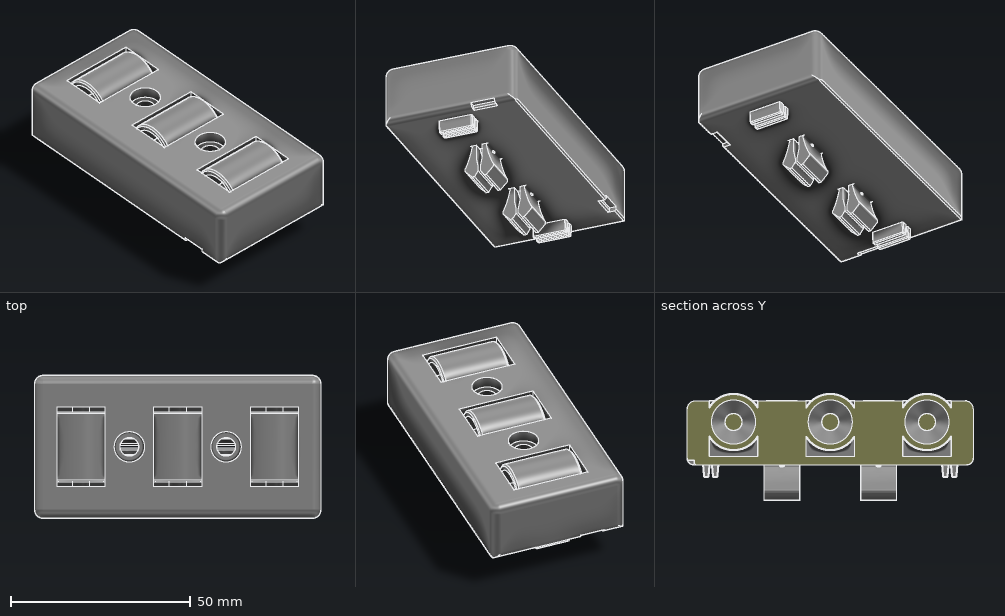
import cadquery as cq

LENGTH = 80.0
WIDTH = 40.0
HEIGHT = 18.0
EDGE_RADIUS = 2.5
END_BOTTOM_RADIUS = 2.0
SIDE_BOTTOM_CHAMFER = 0.5

OUTER_ROLLER_SPACING = 54.0
ROLLER_PITCH = OUTER_ROLLER_SPACING / 2
ROLLER_POSITIONS = [-ROLLER_PITCH, 0, ROLLER_PITCH]
ROLLER_RADIUS = 8.0
ROLLER_LENGTH = 19.5
ROLLER_PROTRUSION = 2.0
ROLLER_CHAMFER = 0.5
ROLLER_RECESS_RADIUS = 6.4
ROLLER_RECESS_DEPTH = 3.2
AXLE_RADIUS = 2.4
WINDOW_LENGTH = 13.5
WINDOW_WIDTH = 22.2
WINDOW_FLOOR = 2.4
ROLLER_AXIS_Z = HEIGHT + ROLLER_PROTRUSION - ROLLER_RADIUS

CLIP_POSITIONS = [-ROLLER_PITCH / 2, ROLLER_PITCH / 2]
COUNTERBORE_DIAMETER = 8.5
COUNTERBORE_DEPTH = 3.4
SCREW_HOLE_DIAMETER = 5.2
SCREW_HOLE_RADIUS = SCREW_HOLE_DIAMETER / 2
HOLE_BOTTOM_CENTER_Z = 1.0

CLIP_LENGTH = 10.0
CLIP_DEPTH = 9.8
ROOT_HALF_WIDTH = 2.2
ROOT_FILLET = 0.5
NECK = (2.5, -1.9)
NECK_MIDDLE = (3.1, -4.2)
BARB_START = (4.1, -6.6)
BARB_CREST = (4.3, -7.0)
BARB_END = (4.0, -8.0)
TIP_OUTER_Y = 2.2
TIP_INNER_Y = 1.4
SLOT_HALF_WIDTH = 0.9
SLOT_TAPER_DEPTH = 4.2
SLOT_MOUTH_HALF_WIDTH = 0.3
SLOT_MOUTH_TOP_DEPTH = 7.0
SLOT_MOUTH_BOTTOM_DEPTH = 8.2

BLADE_PAIR_X = 33.4
BLADE_SPACING = 2.5
BLADE_WIDTH = 10.1
BLADE_THICKNESS = 2.1
BLADE_DEPTH = 3.5
BLADE_TIP_THICKNESS = 1.4
BLADE_CHAMFER = 0.28

NOTCH_LENGTH = 7.0
NOTCH_HEIGHT = 1.3
NOTCH_DEPTH = 2.0
SIDE_NOTCH_X = 28.6
END_NOTCH_Y = -10.1


def chamfered_slab():
    """Block standing on Z = 0 with its two long bottom edges chamfered."""
    slab = cq.Workplane("XY").box(LENGTH, WIDTH, HEIGHT, centered=(True, True, False))
    return slab.edges("|X and <Z").chamfer(SIDE_BOTTOM_CHAMFER)


def rounded_housing():
    """Block with rounded upright and top edges, rounded end bottoms and chamfered side bottoms."""
    block = cq.Workplane("XY").box(LENGTH, WIDTH, HEIGHT, centered=(True, True, False))
    rounded_ends = block.edges("|Y and <Z").fillet(END_BOTTOM_RADIUS)
    rounded_top = block.edges("|Z or >Z").fillet(EDGE_RADIUS)
    return rounded_top.intersect(rounded_ends).intersect(chamfered_slab())


def notch_cutter():
    """Notch for a bottom rim facing -Y at Y = 0, its back wall chamfered at the underside."""
    outline = [
        (0, 0),
        (NOTCH_DEPTH + SIDE_BOTTOM_CHAMFER, 0),
        (NOTCH_DEPTH, SIDE_BOTTOM_CHAMFER),
        (NOTCH_DEPTH, NOTCH_HEIGHT),
        (0, NOTCH_HEIGHT),
    ]
    return cq.Workplane("YZ").polyline(outline).close().extrude(NOTCH_LENGTH / 2, both=True)


def window_cutter():
    """Pocket from the top face around one roller."""
    depth = HEIGHT - WINDOW_FLOOR
    window = cq.Workplane("XY").box(WINDOW_LENGTH, WINDOW_WIDTH, depth, centered=(True, True, False))
    return window.translate((0, 0, WINDOW_FLOOR))


def roller():
    """Roller with chamfered rims and dished ends around an axle that spans its window."""
    half_length = ROLLER_LENGTH / 2
    half_profile = [
        (0, 0),
        (ROLLER_RADIUS, 0),
        (ROLLER_RADIUS, half_length - ROLLER_CHAMFER),
        (ROLLER_RADIUS - ROLLER_CHAMFER, half_length),
        (ROLLER_RECESS_RADIUS, half_length),
        (AXLE_RADIUS, half_length - ROLLER_RECESS_DEPTH),
        (AXLE_RADIUS, WINDOW_WIDTH / 2),
        (0, WINDOW_WIDTH / 2),
    ]
    half = cq.Workplane("XY").polyline(half_profile).close().revolve(360, (0, 0), (0, 1))
    return half.union(half.mirror("XZ")).translate((0, 0, ROLLER_AXIS_Z))


def clip_leg():
    """One barbed leg on the +Y side of the clip slot."""
    profile = (
        cq.Workplane("YZ")
        .moveTo(SLOT_HALF_WIDTH, SIDE_BOTTOM_CHAMFER)
        .lineTo(ROOT_HALF_WIDTH + ROOT_FILLET, SIDE_BOTTOM_CHAMFER)
        .lineTo(ROOT_HALF_WIDTH + ROOT_FILLET, 0)
        .radiusArc((ROOT_HALF_WIDTH, -ROOT_FILLET), -ROOT_FILLET)
        .lineTo(*NECK)
        .threePointArc(NECK_MIDDLE, BARB_START)
        .threePointArc(BARB_CREST, BARB_END)
        .lineTo(TIP_OUTER_Y, -CLIP_DEPTH)
        .lineTo(TIP_INNER_Y, -CLIP_DEPTH)
        .lineTo(SLOT_MOUTH_HALF_WIDTH, -SLOT_MOUTH_BOTTOM_DEPTH)
        .lineTo(SLOT_MOUTH_HALF_WIDTH, -SLOT_MOUTH_TOP_DEPTH)
        .lineTo(SLOT_HALF_WIDTH, -SLOT_TAPER_DEPTH)
        .close()
    )
    return profile.extrude(CLIP_LENGTH / 2, both=True)


def screw_hole_cutter():
    """Counterbore and hole from the top face, closed by a hemispherical bottom."""
    counterbore = (
        cq.Workplane("XY")
        .workplane(offset=HEIGHT - COUNTERBORE_DEPTH)
        .circle(COUNTERBORE_DIAMETER / 2)
        .extrude(COUNTERBORE_DEPTH)
    )
    hole = (
        cq.Workplane("XY")
        .workplane(offset=HOLE_BOTTOM_CENTER_Z)
        .circle(SCREW_HOLE_RADIUS)
        .extrude(HEIGHT - HOLE_BOTTOM_CENTER_Z)
    )
    bottom = cq.Workplane("XY").sphere(SCREW_HOLE_RADIUS).translate((0, 0, HOLE_BOTTOM_CENTER_Z))
    return counterbore.union(hole).union(bottom)


def slot_opening():
    """Upper end of the clip slot, carried up into the round hole bottom."""
    height = 2 * HOLE_BOTTOM_CENTER_Z
    return cq.Workplane("XY").box(2 * SCREW_HOLE_RADIUS, 2 * SLOT_HALF_WIDTH, height)


def contact_blade():
    """Flat blade below the housing, tapering in thickness, with chamfered corners."""
    half_top = BLADE_THICKNESS / 2
    half_tip = BLADE_TIP_THICKNESS / 2
    outline = [(-half_top, 0), (half_top, 0), (half_tip, -BLADE_DEPTH), (-half_tip, -BLADE_DEPTH)]
    blade = cq.Workplane("XZ").polyline(outline).close().extrude(BLADE_WIDTH / 2, both=True)
    return blade.faces("<Y or >Y or <Z").edges("not >Z").chamfer(BLADE_CHAMFER)


side_notch = notch_cutter().translate((SIDE_NOTCH_X, -WIDTH / 2, 0))
end_notch = notch_cutter().rotate((0, 0, 0), (0, 0, 1), -90).translate((-LENGTH / 2, END_NOTCH_Y, 0))
result = rounded_housing().cut(side_notch).cut(end_notch)

for x in ROLLER_POSITIONS:
    result = result.cut(window_cutter().translate((x, 0, 0)))
    result = result.union(roller().translate((x, 0, 0)))

leg = clip_leg()
clip = leg.union(leg.mirror("XZ"))
for x in CLIP_POSITIONS:
    result = result.union(clip.translate((x, 0, 0)))
    result = result.cut(screw_hole_cutter().translate((x, 0, 0)))
    result = result.cut(slot_opening().translate((x, 0, 0)))

for pair_x in (-BLADE_PAIR_X, BLADE_PAIR_X):
    for offset in (-BLADE_SPACING / 2, BLADE_SPACING / 2):
        result = result.union(contact_blade().translate((pair_x + offset, 0, 0)))